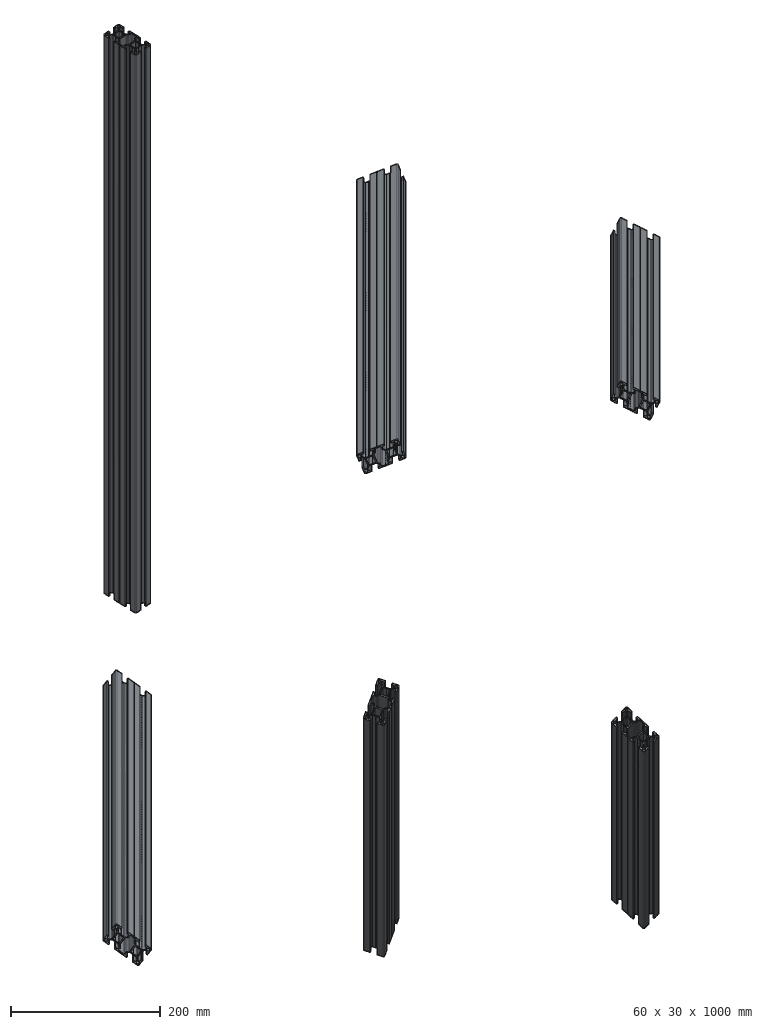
import cadquery as cq

length = 1000.0
module = 30.0
width = 2 * module
face = module / 2
corner_radius = 1.8

slot_opening = 9.8
lip_thickness = 2.5
slot_cavity_width = 17.0
slot_cavity_radius = 1.0
slot_straight_depth = 6.0
slot_floor_width = 10.0
slot_depth = 8.5

groove_width = 1.0
groove_depth = groove_width / 2

bore_size = 10.0
corner_hole_diameter = 4.0
corner_hole_inset = 3.5

chamber_wall = 1.8
chamber_end_width = 10.0
chamber_shoulder_height = 16.0
chamber_waist_width = 16.0
chamber_waist_height = 14.0
chamber_edge_radius = 1.0


def mirrored_prism(right_side):
    """Prism along Z whose outline is the given points and their mirror image across the Y axis."""
    left_side = [(-x, y) for x, y in reversed(right_side) if x > 0]
    return cq.Workplane("XY").polyline(right_side + left_side).close().extrude(length)


def turned(cutter, angle):
    return cutter.rotate((0, 0, 0), (0, 0, 1), angle)


def blank():
    """Solid bar with rounded outer corners."""
    bar = cq.Workplane("XY").rect(width, module).extrude(length)
    return bar.edges("|Z").fillet(corner_radius)


def t_slot():
    """Cutter for a slot opening toward +Y in a module centred on the Z axis."""
    lip = face - lip_thickness
    floor = face - slot_depth
    slot = mirrored_prism(
        [
            (slot_opening / 2, face),
            (slot_opening / 2, lip),
            (slot_cavity_width / 2, lip),
            (slot_cavity_width / 2, face - slot_straight_depth),
            (slot_floor_width / 2, floor),
            (groove_width / 2, floor),
            (0, floor - groove_depth),
        ]
    )
    cavity_sides = slot.faces("<X or >X")
    return cavity_sides.edges("|Z").fillet(slot_cavity_radius)


def face_groove():
    """Cutter for the V-groove in the middle of the +Y face."""
    return mirrored_prism([(groove_width / 2, face), (0, face - groove_depth)])


def centre_chamber():
    """Cutter for the chamber between the two modules, with rounded edges."""
    upper_right = [
        (chamber_end_width / 2, face - chamber_wall),
        (chamber_end_width / 2, chamber_shoulder_height / 2),
        (chamber_waist_width / 2, chamber_waist_height / 2),
    ]
    lower_right = [(x, -y) for x, y in reversed(upper_right)]
    return mirrored_prism(upper_right + lower_right).edges("|Z").fillet(chamber_edge_radius)


def bores():
    """Cutter for the square bores along the module axes."""
    centres = cq.Workplane("XY").rarray(module, module, 2, 1)
    return centres.rect(bore_size, bore_size).extrude(length)


def corner_holes():
    """Cutter for the round holes along the four outer corners."""
    spacing_x = width - 2 * corner_hole_inset
    spacing_y = module - 2 * corner_hole_inset
    centres = cq.Workplane("XY").rarray(spacing_x, spacing_y, 2, 2)
    return centres.circle(corner_hole_diameter / 2).extrude(length)


result = blank()

for module_x, end_angle in ((-module / 2, 90), (module / 2, -90)):
    for angle in (0, 180, end_angle):
        slot = turned(t_slot(), angle)
        result = result.cut(slot.translate((module_x, 0, 0)))

for angle in (0, 180):
    result = result.cut(turned(face_groove(), angle))

result = result.cut(bores()).cut(corner_holes()).cut(centre_chamber())